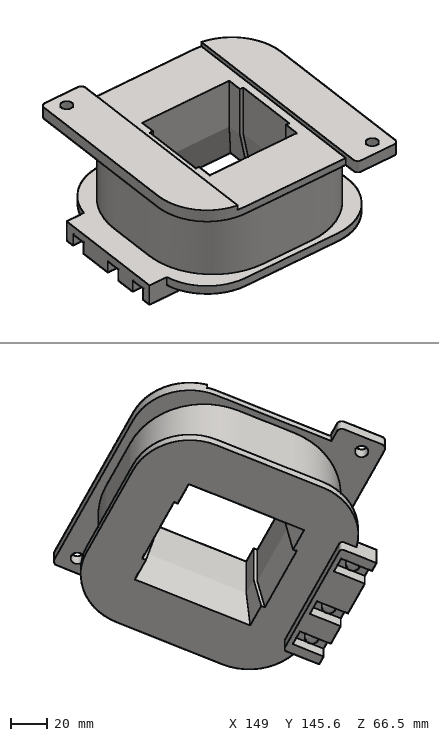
import cadquery as cq

BLOCK_DROP = 7.9
LOWER_FLANGE_T = 5.7
COIL_H = 45.0
UPPER_FLANGE_T = 4.9
LUG_STEP = 3.0

Z_LOWER = BLOCK_DROP
Z_COIL = Z_LOWER + LOWER_FLANGE_T
Z_UPPER = Z_COIL + COIL_H
Z_UPPER_TOP = Z_UPPER + UPPER_FLANGE_T
LUG_H = UPPER_FLANGE_T + LUG_STEP

FLANGE_X = 129.0
FLANGE_Y = 134.1
FLANGE_R = 34.7

LUG_REACH = 74.5
LUG_INNER_Y = 37.8
LUG_CORNER_R = 3.0
LUG_HOLE_D = 7.3
LUG_HOLE_X = 65.4
LUG_HOLE_Y = 55.9

COIL_X = 121.1
COIL_Y = 124.0
COIL_R = 45.0

WINDOW_X = 60.2
WINDOW_Y = 61.2
RECESS_X = 41.0
RECESS_DEPTH = 2.2
FLARE_H = 23.5
FLARE_OUT = 4.6

BLOCK_X = 73.9
BLOCK_FRONT_Y = -78.5
BLOCK_BACK_Y = -56.6
BLOCK_R = 2.0
SLOT_W = 9.2
SLOT_CENTRES_X = (-26.5, 4.5, 26.5)
SLOT_BACK_WALL = 3.0

SCREW_R = 4.0
SCREW_H = 3.0
SCREW_ROUND = 2.1

BLOCK_DEPTH = BLOCK_BACK_Y - BLOCK_FRONT_Y
SLOT_DEPTH = BLOCK_DEPTH - SLOT_BACK_WALL
SCREW_Y = BLOCK_FRONT_Y + SLOT_DEPTH / 2


def rounded_slab(size_x, size_y, radius, z, height):
    """Rectangular slab centred on the Z axis with rounded vertical corners."""
    slab = cq.Workplane("XY", origin=(0, 0, z)).rect(size_x, size_y).extrude(height)
    return slab.edges("|Z").fillet(radius)


def front_lug():
    """Raised bar along the -Y edge: round like the flange at its +X end, overhanging at its -X end."""
    length = LUG_REACH + FLANGE_X / 2
    slab = (
        cq.Workplane("XY", origin=(-LUG_REACH, -FLANGE_Y / 2, Z_UPPER))
        .rect(length, FLANGE_Y, centered=False)
        .extrude(LUG_H)
        .edges("|Z and >X and <Y")
        .fillet(FLANGE_R)
    )
    strip = (
        cq.Workplane("XY", origin=(-LUG_REACH, -FLANGE_Y / 2, Z_UPPER))
        .rect(length, FLANGE_Y / 2 - LUG_INNER_Y, centered=False)
        .extrude(LUG_H)
    )
    return slab.intersect(strip).edges("|Z and <X").fillet(LUG_CORNER_R)


def upper_flange():
    """Plate with two lug bars, one turned half a revolution from the other, and their holes."""
    plate = cq.Workplane("XY", origin=(0, 0, Z_UPPER)).rect(FLANGE_X, FLANGE_Y).extrude(UPPER_FLANGE_T)
    plate = plate.edges("(|Z and >X and <Y) or (|Z and <X and >Y)").fillet(FLANGE_R)
    front = front_lug()
    back = front.rotate((0, 0, 0), (0, 0, 1), 180)
    holes = (
        cq.Workplane("XY", origin=(0, 0, Z_UPPER))
        .pushPoints([(-LUG_HOLE_X, -LUG_HOLE_Y), (LUG_HOLE_X, LUG_HOLE_Y)])
        .circle(LUG_HOLE_D / 2)
        .extrude(LUG_H)
    )
    return plate.union(front).union(back).cut(holes)


def window_outline(z, grow):
    """Window outline at height z with its walls moved outward by grow; recesses keep their width."""
    half_x = WINDOW_X / 2 + grow
    half_y = WINDOW_Y / 2 + grow
    recess_x = RECESS_X / 2
    recess_y = half_y + RECESS_DEPTH
    quarter = [(half_x, half_y), (recess_x, half_y), (recess_x, recess_y)]
    left = [(-x, y) for x, y in reversed(quarter)]
    back = quarter + left
    front = [(x, -y) for x, y in reversed(back)]
    return cq.Wire.makePolygon([cq.Vector(x, y, z) for x, y in back + front], close=True)


def core_window():
    """Opening through the whole bobbin, with a recess on its -Y and +Y walls."""
    z_flare = Z_LOWER + FLARE_H
    throat = window_outline(z_flare, 0)
    mouth = window_outline(Z_LOWER, FLARE_OUT)
    flare = cq.Solid.makeLoft([mouth, throat], True)
    straight = cq.Solid.extrudeLinear(throat, [], cq.Vector(0, 0, Z_UPPER_TOP - z_flare))
    return cq.Workplane(straight).union(cq.Workplane(flare))


def terminal_block():
    """Block under the front edge of the lower flange, with open-fronted terminal slots."""
    block = (
        cq.Workplane("XY", origin=(-BLOCK_X / 2, BLOCK_FRONT_Y, 0))
        .rect(BLOCK_X, BLOCK_DEPTH, centered=False)
        .extrude(BLOCK_DROP + LOWER_FLANGE_T)
        .edges("|Z and >Y")
        .fillet(BLOCK_R)
    )
    for x in SLOT_CENTRES_X:
        slot = (
            cq.Workplane("XY", origin=(x - SLOT_W / 2, BLOCK_FRONT_Y, 0))
            .rect(SLOT_W, SLOT_DEPTH, centered=False)
            .extrude(BLOCK_DROP)
        )
        block = block.cut(slot)
    return block


def make_bobbin():
    """Wound coil former: two flanges, the winding between them and the terminal block."""
    lower_flange = rounded_slab(FLANGE_X, FLANGE_Y, FLANGE_R, Z_LOWER, LOWER_FLANGE_T)
    winding = rounded_slab(COIL_X, COIL_Y, COIL_R, Z_COIL, COIL_H)
    former = lower_flange.union(winding).union(upper_flange()).union(terminal_block())
    return former.cut(core_window())


def make_screw(x):
    """Screw head against a slot roof, with a rounded lower rim."""
    head = cq.Workplane("XY", origin=(x, SCREW_Y, BLOCK_DROP - SCREW_H)).circle(SCREW_R).extrude(SCREW_H)
    return head.faces("<Z").edges().fillet(SCREW_ROUND)


bobbin = make_bobbin()
screws = [make_screw(x) for x in SLOT_CENTRES_X]
result = cq.Compound.makeCompound([bobbin.val(), *[screw.val() for screw in screws]])